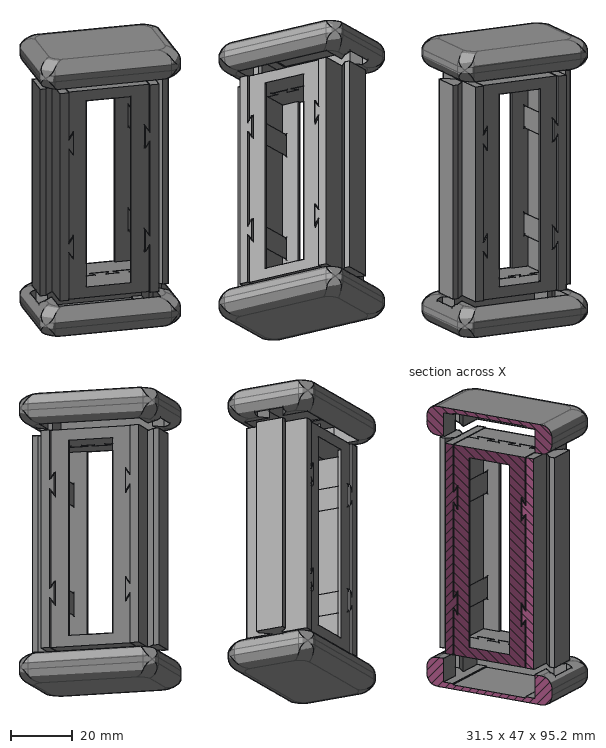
import cadquery as cq
import math

CAP_X, CAP_Y, CAP_Z = 31.53, 47.0, 10.0
TOTAL_Z = 95.21
CAP_EDGE_R = 4.0
GAP = 0.2
FLANK_GAP = 0.05

SHELL_X = 10.4
SHELL_Y = 13.4
SHELL_Z0 = 11.65
SHELL_H = 71.5
WALL = 1.1
DECK = 3.65
WINDOW_Y = 15.0

PLATE_X = 11.1
PLATE_T = 3.0
PLATE_Z0 = 11.6
PLATE_H = 71.55
RIB_H = 71.25
RIB_WIDE_X = 4.85
RIB_FLARE = 3.0
RIB_FLAT = 1.85

TAB_NECK = 3.0
TAB_WIDE = 7.4
TAB_DEPTH = 1.5
TAB_PITCH_Z = 35.8
SEAM_NECK = 3.4
SEAM_WIDE = 6.0
SEAM_DEPTH = 1.8
SEAM_PITCH_Y = 7.85

POCKET_DEPTH = 8.0
SHELL_SEAT = 0.4
SLOT_NECK_X = 2.5
SLOT_END_Y = 22.05
POCKET_GAP = 0.4

PLATE_Y = SHELL_Y + GAP
PLATE_OUT_Y = PLATE_Y + PLATE_T
RIB_NECK_X = RIB_WIDE_X - RIB_FLARE
RIB_OUT_Y = PLATE_OUT_Y + RIB_FLARE + RIB_FLAT
MID_Z = SHELL_Z0 + SHELL_H / 2
TAB_LEVELS = [MID_Z - TAB_PITCH_Z / 2, MID_Z + TAB_PITCH_Z / 2]
SEAM_X = SEAM_DEPTH / 3
SEAM_STATIONS = [-SEAM_PITCH_Y, 0, SEAM_PITCH_Y]


def box(x0, x1, y0, y1, z0, z1):
    return cq.Workplane("XY").box(x1 - x0, y1 - y0, z1 - z0, centered=False).translate((x0, y0, z0))


def dovetail(neck, wide, depth, flank_gap=0.0, tip_gap=0.0):
    """Trapezoid growing from its neck on the U axis to its wide end at -depth.

    A socket gets both gaps: the flanks move outward and run on at the same slope to a deeper tip.
    """
    slope = (wide - neck) / 2 / depth
    half_neck = neck / 2 + flank_gap
    half_wide = wide / 2 + slope * tip_gap + flank_gap
    tip = -depth - tip_gap
    return [(0, -half_neck), (tip, -half_wide), (tip, half_wide), (0, half_neck)]


def corner_cutter():
    """Material outside the blended corner, for the +X +Y corner of a cap centred on the origin."""
    flat_r = CAP_EDGE_R
    swell = CAP_EDGE_R * math.sqrt(2)
    axis_x = CAP_X / 2 - 2 * CAP_EDGE_R
    axis_y = CAP_Y / 2 - 2 * CAP_EDGE_R
    half_z = CAP_Z / 2
    quarter = (
        cq.Workplane("XZ")
        .moveTo(flat_r + swell, 0)
        .ellipseArc(swell, half_z, 0, 90, startAtCurrent=True)
        .lineTo(0, half_z)
        .lineTo(0, 0)
        .close()
        .revolve(360, (0, 0, 0), (0, 1, 0))
    )
    blend = quarter.union(quarter.mirror("XY"))
    reach = 3 * CAP_EDGE_R
    return box(0, reach, 0, reach, -half_z, half_z).cut(blend).translate((axis_x, axis_y, 0))


def column_pocket():
    """Outline of the column enlarged by the pocket clearance, with the deeper seat of the shells."""
    side = PLATE_X + POCKET_GAP
    end = PLATE_OUT_Y + POCKET_GAP
    pocket = cq.Workplane("XY").rect(2 * side, 2 * end).extrude(POCKET_DEPTH)
    flare_end = end + RIB_FLARE
    wide = RIB_WIDE_X + POCKET_GAP
    slot = (
        cq.Workplane("XY")
        .polyline([
            (-SLOT_NECK_X, 0), (-SLOT_NECK_X, end), (-wide, flare_end), (-wide, SLOT_END_Y),
            (wide, SLOT_END_Y), (wide, flare_end), (SLOT_NECK_X, end), (SLOT_NECK_X, 0),
        ])
        .close()
        .extrude(POCKET_DEPTH)
    )
    seat = box(-side, side, -PLATE_Y, PLATE_Y, -SHELL_SEAT, 0)
    return pocket.union(slot).union(slot.mirror("XZ")).union(seat)


def make_bottom_cap():
    cap = cq.Workplane("XY").box(CAP_X, CAP_Y, CAP_Z).edges().fillet(CAP_EDGE_R)
    cutter = corner_cutter()
    for tool in (cutter, cutter.mirror("YZ")):
        cap = cap.cut(tool).cut(tool.mirror("XZ"))
    cap = cap.translate((0, 0, CAP_Z / 2))
    return cap.cut(column_pocket().translate((0, 0, CAP_Z - POCKET_DEPTH)))


def plate_tabs(flank_gap=0.0, tip_gap=0.0):
    """Dovetail tabs reaching from the +Y plate toward -Y, across the full plate width."""
    tabs = cq.Workplane("YZ")
    for level in TAB_LEVELS:
        outline = dovetail(TAB_NECK, TAB_WIDE, TAB_DEPTH, flank_gap, tip_gap)
        points = [(PLATE_Y + u, level + v) for u, v in outline]
        tabs = tabs.polyline(points).close()
    return tabs.extrude(PLATE_X, both=True)


def make_plate():
    """The +Y end plate with its rib and tabs."""
    flare_end = PLATE_OUT_Y + RIB_FLARE
    slab = box(-PLATE_X, PLATE_X, PLATE_Y, PLATE_OUT_Y, PLATE_Z0, PLATE_Z0 + PLATE_H)
    rib = (
        cq.Workplane("XY")
        .polyline([
            (-RIB_NECK_X, PLATE_OUT_Y), (-RIB_WIDE_X, flare_end), (-RIB_WIDE_X, RIB_OUT_Y),
            (RIB_WIDE_X, RIB_OUT_Y), (RIB_WIDE_X, flare_end), (RIB_NECK_X, PLATE_OUT_Y),
        ])
        .close()
        .extrude(RIB_H)
        .translate((0, 0, PLATE_Z0))
    )
    return slab.union(rib).union(plate_tabs())


def seam_tabs(flank_gap=0.0, tip_gap=0.0):
    """Dovetail tabs of the +X shell that reach across the seam toward -X."""
    tabs = cq.Workplane("XY")
    for station in SEAM_STATIONS:
        outline = dovetail(SEAM_NECK, SEAM_WIDE, SEAM_DEPTH, flank_gap, tip_gap)
        points = [(SEAM_X + u, station + v) for u, v in outline]
        tabs = tabs.polyline(points).close()
    return tabs.extrude(SHELL_H).translate((0, 0, SHELL_Z0))


def shell_frame():
    """Both shells as one rectangular tube with windows and with sockets for the plate tabs."""
    top = SHELL_Z0 + SHELL_H
    inner_x = SHELL_X - WALL
    floor_z, ceiling_z = SHELL_Z0 + DECK, top - DECK
    frame = box(-SHELL_X, SHELL_X, -SHELL_Y, SHELL_Y, SHELL_Z0, top)
    frame = frame.cut(box(-inner_x, inner_x, -SHELL_Y, SHELL_Y, floor_z, ceiling_z))
    frame = frame.cut(box(-SHELL_X, SHELL_X, -WINDOW_Y / 2, WINDOW_Y / 2, floor_z, ceiling_z))
    sockets = plate_tabs(FLANK_GAP, GAP)
    return frame.cut(sockets).cut(sockets.mirror("XZ"))


def make_shells():
    frame = shell_frame()
    top = SHELL_Z0 + SHELL_H
    right_side = box(SEAM_X, SHELL_X, -SHELL_Y, SHELL_Y, SHELL_Z0, top)
    left_shell = frame.cut(right_side).cut(seam_tabs(FLANK_GAP, GAP))
    right_shell = frame.intersect(right_side.union(seam_tabs()))
    return left_shell, right_shell


bottom_cap = make_bottom_cap()
top_cap = bottom_cap.mirror("XY").translate((0, 0, TOTAL_Z))
back_plate = make_plate()
front_plate = back_plate.mirror("XZ")
left_shell, right_shell = make_shells()

result = cq.Compound.makeCompound([
    bottom_cap.val(),
    top_cap.val(),
    front_plate.val(),
    back_plate.val(),
    left_shell.val(),
    right_shell.val(),
])